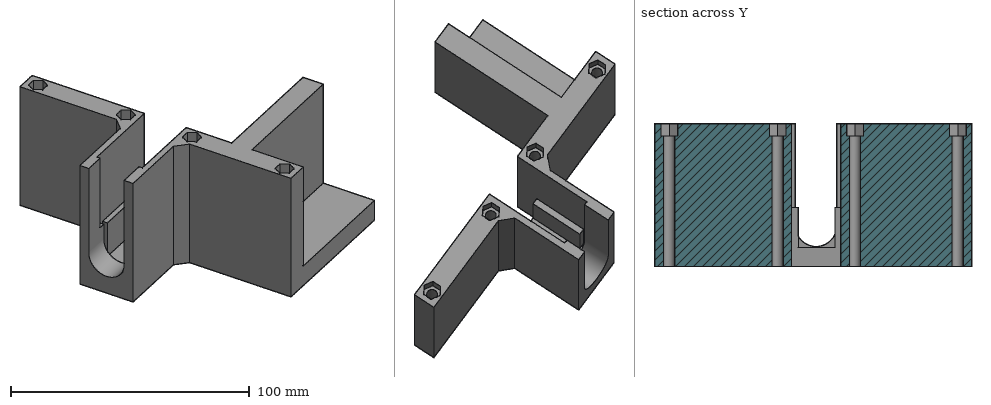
import cadquery as cq
import math

length = 132.9
height = 60.0
plate = 10.0

holder_left = 52.2
holder_right = 78.3
holder_reach = 37.6
side_wall = 2.8
gusset = 4.9
pocket_left = holder_left + side_wall
pocket_right = holder_right - side_wall
pocket_depth = 25.5
relief_depth = 28.5
floor_height = 8.0

slot_width = 17.3
slot_bottom = 8.5
slot_center = (holder_left + holder_right) / 2
slot_left = slot_center - slot_width / 2

rail_height = 24.9
rail_length = 23.9
left_rail_width = 2.4
right_rail_width = 2.8

back_reach = 57.7
back_wall_left = 97.8

hole_positions = (5.8, 48.9, 81.3, 126.8)
hole_diameter = 4.5
nut_flats = 6.9
nut_depth = 5.0


def block(x_min, x_max, y_min, y_max, z_min, z_max):
    """Axis-aligned box between two corners."""
    size = (x_max - x_min, y_max - y_min, z_max - z_min)
    return cq.Workplane().box(*size, centered=False).translate((x_min, y_min, z_min))


def make_gusset(corner_x, direction):
    """Triangular web between an arm and the side of the holder."""
    points = [(corner_x, 0), (corner_x + direction * gusset, 0), (corner_x, -gusset)]
    return cq.Workplane().polyline(points).close().extrude(height)


def make_slot():
    """Slot cutter, open at the top."""
    radius = slot_width / 2
    center_z = slot_bottom + radius
    return (
        cq.Workplane("XZ")
        .moveTo(slot_left, height)
        .lineTo(slot_left, center_z)
        .threePointArc((slot_center, slot_bottom), (slot_center + radius, center_z))
        .lineTo(slot_center + radius, height)
        .close()
        .extrude(holder_reach)
    )


def make_bolt_cutter():
    """Through holes and nut seats, with hexagon corners along Y."""
    centers = [(x, plate / 2) for x in hole_positions]
    nut_corners = nut_flats / math.cos(math.pi / 6)
    cutter = cq.Workplane().pushPoints(centers).circle(hole_diameter / 2).extrude(height)
    for x, y in centers:
        seat = cq.Workplane().polygon(6, nut_corners).extrude(nut_depth)
        seat = seat.rotate((0, 0, 0), (0, 0, 1), 90)
        cutter = cutter.union(seat.translate((x, y, height - nut_depth)))
    return cutter


body = block(0, pocket_left, 0, plate, 0, height)
body = body.union(block(pocket_right, length, 0, plate, 0, height))
back_end = plate + back_reach
body = body.union(block(back_wall_left, back_wall_left + plate, 0, back_end, 0, height))
body = body.union(block(back_wall_left, length, 0, back_end, 0, plate))
body = body.union(block(holder_left, holder_right, -holder_reach, 0, 0, height))
body = body.union(make_gusset(holder_left, -1))
body = body.union(make_gusset(holder_right, 1))

body = body.cut(make_slot())
body = body.cut(block(pocket_left, pocket_right, -pocket_depth, 0, floor_height, height))
body = body.cut(block(pocket_left, slot_left, -relief_depth, 0, rail_height, height))

left_rail_end = pocket_left + left_rail_width
right_rail_start = pocket_right - right_rail_width
body = body.union(block(pocket_left, left_rail_end, -rail_length, 0, 0, rail_height))
body = body.union(block(right_rail_start, pocket_right, -rail_length, 0, 0, rail_height))

result = body.cut(make_bolt_cutter())